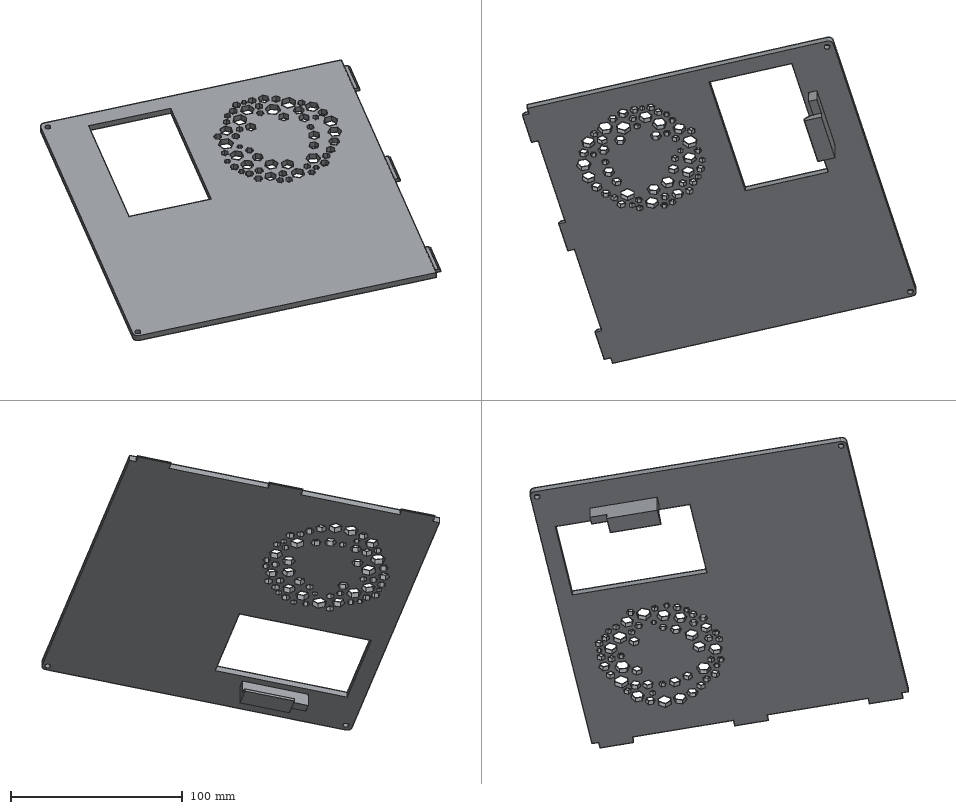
import cadquery as cq

PLATE_WIDTH = 188.0
PLATE_DEPTH = 184.0
PLATE_THICKNESS = 4.0
CORNER_RADIUS = 3.0

TAB_WIDTH = 20.0
TAB_REACH = 4.0
TAB_HEIGHT = 2.5
TAB_TIP_HEIGHT = 1.0
TAB_FLAT_LENGTH = 2.5
TAB_END_INSET = 4.0

SCREW_HOLE_DIAMETER = 3.25
LEFT_SCREW_INSET = (4.0, 4.0)
RIGHT_SCREW_INSET = (3.25, 3.25)

WINDOW_WIDTH = 80.0
WINDOW_DEPTH = 50.0
WINDOW_LEFT = 10.0
WINDOW_FRONT = 27.0

LATCH_RIGHT = 72.4
LATCH_FRONT = 18.0
ARM_WIDTH = 40.0
ARM_THICKNESS = 5.0
ARM_LENGTH = 9.0
HOOK_WIDTH = 30.0
HOOK_HEIGHT = 4.0
HOOK_REACH = 5.4
HOOK_TIP_HEIGHT = 1.8

VENT_SIDES = 6
VENT_HOLES = {
    8.9: [(25.6, 143.9, 35), (28.3, 133.6, 5), (48.0, 98.9, 25)],
    8.5: [(31.0, 112.6, 35), (47.5, 162.8, 35), (74.6, 143.9, 15)],
    8.0: [
        (24.3, 119.2, 30), (32.8, 156.1, 0), (56.8, 162.5, 20), (59.2, 102.1, 0), (72.4, 119.0, 30),
        (84.0, 131.7, 0),
    ],
    7.6: [(37.4, 102.4, 55), (68.4, 105.6, 5), (75.1, 128.2, 50)],
    6.9: [(56.2, 150.2, 50), (81.8, 115.6, 35)],
    6.4: [
        (18.2, 131.1, 55), (33.3, 147.8, 20), (36.2, 137.8, 45), (38.7, 116.9, 50), (40.4, 148.9, 50),
        (64.2, 113.3, 5), (64.6, 159.8, 5),
    ],
    5.8: [(39.4, 160.6, 0), (64.2, 147.5, 30)],
    5.3: [(20.4, 137.9, 45), (70.6, 155.8, 45), (80.3, 149.1, 25)],
    4.9: [
        (17.6, 124.1, 35), (18.4, 114.4, 30), (22.8, 111.1, 30), (68.1, 98.0, 0), (75.3, 110.7, 5),
        (76.1, 104.6, 25), (81.5, 108.4, 15), (81.7, 123.2, 55),
    ],
    4.6: [
        (23.3, 126.6, 35), (27.8, 151.1, 30), (40.7, 96.1, 10), (43.5, 106.3, 5), (57.2, 110.4, 10),
        (74.8, 151.8, 25),
    ],
    4.2: [
        (29.1, 125.6, 5), (30.5, 104.7, 45), (38.6, 110.2, 50), (48.8, 150.2, 0), (55.2, 96.1, 50),
        (80.0, 138.5, 35), (85.6, 139.6, 5), (86.6, 120.1, 0), (87.6, 125.2, 45),
    ],
    3.7: [
        (25.6, 106.8, 50), (41.9, 155.4, 40), (62.4, 95.4, 15), (73.1, 100.8, 15), (82.5, 143.3, 15),
    ],
    3.2: [(17.6, 119.3, 15), (52.6, 105.9, 15)],
}


def make_plate():
    plate = cq.Workplane("XY").box(PLATE_WIDTH, PLATE_DEPTH, PLATE_THICKNESS, centered=False)
    return plate.edges("|Z and <Y").fillet(CORNER_RADIUS)


def make_tab(left):
    """Tab with a sloped tip, flush with the underside of the plate."""
    tip = PLATE_DEPTH + TAB_REACH
    return (
        cq.Workplane("YZ", origin=(left, 0, 0))
        .moveTo(PLATE_DEPTH, 0)
        .lineTo(tip, 0)
        .lineTo(tip, TAB_TIP_HEIGHT)
        .lineTo(PLATE_DEPTH + TAB_FLAT_LENGTH, TAB_HEIGHT)
        .lineTo(PLATE_DEPTH, TAB_HEIGHT)
        .close()
        .extrude(TAB_WIDTH)
    )


def make_latch():
    """Flat arm below the plate, ending in a hook with a rounded upper face."""
    arm = cq.Workplane("XY").box(ARM_WIDTH, ARM_THICKNESS, ARM_LENGTH, centered=False)
    arm = arm.translate((LATCH_RIGHT - ARM_WIDTH, LATCH_FRONT, -ARM_LENGTH))

    arm_back = LATCH_FRONT + ARM_THICKNESS
    hook_tip = arm_back + HOOK_REACH
    hook_top = -ARM_LENGTH
    hook_bottom = hook_top - HOOK_HEIGHT
    hook = (
        cq.Workplane("YZ", origin=(LATCH_RIGHT - HOOK_WIDTH, 0, 0))
        .moveTo(hook_tip, hook_bottom)
        .lineTo(LATCH_FRONT, hook_bottom)
        .lineTo(LATCH_FRONT, hook_top)
        .lineTo(arm_back, hook_top)
        .tangentArcPoint((hook_tip, hook_bottom + HOOK_TIP_HEIGHT), relative=False)
        .close()
        .extrude(HOOK_WIDTH)
    )
    return arm.union(hook)


def make_screw_holes():
    centres = [
        LEFT_SCREW_INSET,
        (PLATE_WIDTH - RIGHT_SCREW_INSET[0], RIGHT_SCREW_INSET[1]),
    ]
    return cq.Workplane("XY").pushPoints(centres).circle(SCREW_HOLE_DIAMETER / 2).extrude(PLATE_THICKNESS)


def cut_vent_holes(plate):
    """Cut every hexagonal vent through the plate, each turned to its own angle."""
    for size, vents in VENT_HOLES.items():
        for x, y, angle in vents:
            vent = cq.Workplane("XY").polygon(VENT_SIDES, size).extrude(PLATE_THICKNESS)
            vent = vent.rotate((0, 0, 0), (0, 0, 1), angle).translate((x, y, 0))
            plate = plate.cut(vent)
    return plate


def make_window():
    window = cq.Workplane("XY").box(WINDOW_WIDTH, WINDOW_DEPTH, PLATE_THICKNESS, centered=False)
    return window.translate((WINDOW_LEFT, WINDOW_FRONT, 0))


tab_lefts = [
    TAB_END_INSET,
    (PLATE_WIDTH - TAB_WIDTH) / 2,
    PLATE_WIDTH - TAB_END_INSET - TAB_WIDTH,
]

result = make_plate().cut(make_window()).cut(make_screw_holes())
result = cut_vent_holes(result)
for tab_left in tab_lefts:
    result = result.union(make_tab(tab_left))
result = result.union(make_latch())